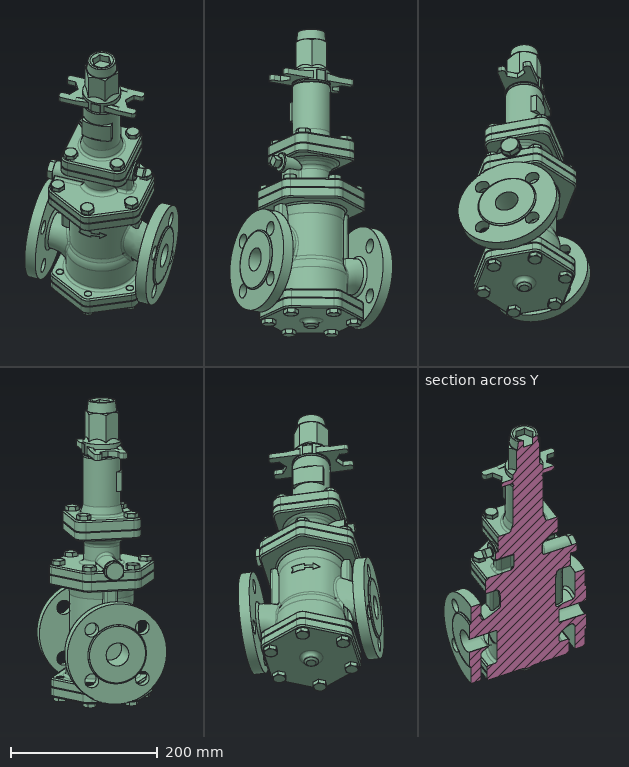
import cadquery as cq
import math


Box = cq.selectors.BoxSelector
COS30 = math.cos(math.radians(30))

base_flange_bottom, base_joint, base_flange_top = 9.5, 23.5, 36.5
pipe_axis_z = 82.5
cover_bottom, cover_joint, cover_top = 165.5, 180.0, 193.5
square_bottom, square_joint, square_top = 233.0, 245.5, 261.5
tube_bottom, tube_groove_z = 275.3, 343.5
collar_top = 362.5
nut_top = 404.8
total_height = 419.0

body_radius, lower_body_radius = 44.0, 49.0
neck_radius = 50.0 / 2
tube_radius = 52.0 / 2
nut_across_flats = 42.5

base_bolt_circle_radius, base_corner_radius = 58.2, 13.0
cover_bolt_circle_radius, cover_corner_radius = 61.0, 12.5
square_bolt_offset, square_corner_radius = 33.5, 13.0
gasket_thickness, gasket_inset = 1.3, 0.5
edge_bevel = 2.0
bolt_across_flats, bolt_height = 17.0, 6.3
head_corner_drop = 1.0

face_to_face = 180.0
flange_diameter, flange_thickness = 140.0, 15.5
raised_face_diameter, raised_face_height = 82.0, 2.5
flange_bolt_circle, flange_hole_diameter = 100.0, 19.3
bore_diameter, bore_depth = 32.0, 42.0
inlet_radius = 50.0 / 2
flange_back_x = face_to_face / 2 - raised_face_height - flange_thickness


def level(z):
    """Horizontal sketch plane at height z."""
    return cq.Workplane("XY").workplane(offset=z)


def hex_plate(bolt_circle_radius, corner_radius, bottom, top):
    """Hexagon with corners on +Y and -Y, rounded about the bolt centres."""
    hexagon_radius = bolt_circle_radius + corner_radius / COS30
    plate = level(bottom).polygon(6, 2 * hexagon_radius)
    plate = plate.extrude(top - bottom).rotate((0, 0, 0), (0, 0, 1), 30)
    return plate.edges("|Z").fillet(corner_radius)


def square_plate(bolt_offset, corner_radius, bottom, top):
    """Square with sides along X and Y, rounded about the bolt centres."""
    width = 2 * (bolt_offset + corner_radius)
    plate = level(bottom).rect(width, width)
    return plate.extrude(top - bottom).edges("|Z").fillet(corner_radius)


def jointed_flange(plate, bolt_distance, corner_radius, bottom, joint, top):
    """Two bevelled plates clamped on a slightly smaller gasket."""
    gasket_bottom = joint - gasket_thickness / 2
    gasket_top = joint + gasket_thickness / 2
    lower = plate(bolt_distance, corner_radius, bottom, gasket_bottom).faces("<Z").edges().chamfer(edge_bevel)
    upper = plate(bolt_distance, corner_radius, gasket_top, top).faces(">Z").edges().chamfer(edge_bevel)
    gasket = plate(bolt_distance, corner_radius - gasket_inset, gasket_bottom, gasket_top)
    return lower.union(gasket).union(upper)


def hex_head(across_flats, height):
    """Hexagon head standing on Z = 0, its top corners turned down to the across-flats circle."""
    head = cq.Workplane("XY").polygon(6, across_flats / COS30).extrude(height)
    corner_radius = across_flats / COS30 / 2
    turning = cq.Workplane("XY").circle(corner_radius).extrude(height)
    turning = turning.faces(">Z").chamfer(head_corner_drop, corner_radius - across_flats / 2)
    return head.intersect(turning)


def polar_points(radius, count, start):
    """Evenly spaced points on a circle, the first at the start angle in degrees."""
    steps = [math.radians(start + i * 360 / count) for i in range(count)]
    return [(radius * math.cos(a), radius * math.sin(a)) for a in steps]


def body():
    base_fillet = 3.8
    shoulder_bottom, shoulder_rim, shoulder_top = 72.0, 84.2, 89.5
    shoulder_rim_radius = body_radius + 1.5
    flare_bottom, flare_top, flare_radius = 150.5, 163.0, 46.0
    profile = (
        cq.Workplane("XZ")
        .moveTo(0, base_flange_top)
        .lineTo(lower_body_radius + base_fillet, base_flange_top)
        .radiusArc((lower_body_radius, base_flange_top + base_fillet), base_fillet)
        .lineTo(lower_body_radius, shoulder_bottom)
        .tangentArcPoint((shoulder_rim_radius, shoulder_rim), relative=False)
        .lineTo(body_radius, shoulder_top)
        .lineTo(body_radius, flare_bottom)
        .lineTo(flare_radius, flare_top)
        .lineTo(flare_radius + cover_bottom - flare_top, cover_bottom)
        .lineTo(0, cover_bottom)
        .close()
    )
    return profile.revolve(360, (0, 0, 0), (0, 1, 0))


def body_ribs():
    """Round-edged ribs under the cover, one on each pipe side."""
    reach, half_width, edge_radius = 55.5, 9.2, 3.5
    left_bottom, right_bottom = 84.0, 109.0
    ribs = cq.Workplane("XY")
    for side, bottom in ((-1, left_bottom), (1, right_bottom)):
        rib = level(bottom).center(reach / 2, 0).rect(reach, 2 * half_width).extrude(cover_bottom - bottom)
        rib = rib.edges("|Z and >X").fillet(edge_radius)
        if side < 0:
            rib = rib.mirror("YZ")
        ribs = ribs.union(rib)
    return ribs


def flow_arrow():
    """Raised arrow pointing along the flow, toward +X."""
    relief = 0.5
    tail_x, notch_x, step_x, head_x, tip_x = -19.3, -16.8, -0.5, 11.5, 20.0
    half_tail, half_stem, half_head, arrow_z = 5.0, 2.0, 5.5, 134.0
    upper = [
        (tail_x, half_tail),
        (step_x, half_tail),
        (step_x, half_stem),
        (head_x, half_stem),
        (head_x, half_head),
    ]
    lower = [(x, -z) for x, z in reversed(upper)]
    outline = [(notch_x, 0)] + upper + [(tip_x, 0)] + lower
    arrow = cq.Workplane("XZ").polyline(outline).close().extrude(2 * body_radius).translate((0, 0, arrow_z))
    shell = level(arrow_z - half_head).circle(body_radius + relief)
    shell = shell.extrude(2 * half_head)
    return arrow.intersect(shell)


def base_flange():
    flange = jointed_flange(
        hex_plate,
        base_bolt_circle_radius,
        base_corner_radius,
        base_flange_bottom,
        base_joint,
        base_flange_top,
    )
    thread_diameter, thread_recess = 10.0, 1.0
    centres = polar_points(base_bolt_circle_radius, 6, 30)
    recess = level(base_flange_top - thread_recess)
    flange = flange.cut(recess.pushPoints(centres).circle(thread_diameter / 2).extrude(thread_recess))
    head = hex_head(bolt_across_flats, bolt_height).rotate((0, 0, 0), (1, 0, 0), 180)
    head = head.rotate((0, 0, 0), (0, 0, 1), 30)
    for x, y in centres:
        flange = flange.union(head.translate((x, y, base_flange_bottom)))
    return flange


def base_boss():
    rim_radius, foot_radius, flare_radius = 10.0, 6.5, 16.0
    rim_bottom, rim_top, overlap = 2.5, 4.0, 2.0
    profile = (
        cq.Workplane("XZ")
        .lineTo(foot_radius, 0)
        .lineTo(rim_radius, rim_bottom)
        .lineTo(rim_radius, rim_top)
        .radiusArc((flare_radius, base_flange_bottom), flare_radius - rim_radius)
        .lineTo(flare_radius, base_flange_bottom + overlap)
        .lineTo(0, base_flange_bottom + overlap)
        .close()
    )
    return profile.revolve(360, (0, 0, 0), (0, 1, 0))


port_diameter = 27.0
port_radius = port_diameter / 2
core_bottom, core_top = 176.0, 243.0
margin = 0.5


def neck_core():
    """Plain neck cylinder reaching into the flanges above and below."""
    return level(core_bottom).circle(neck_radius).extrude(core_top - core_bottom)


def cover():
    flange = jointed_flange(
        hex_plate, cover_bolt_circle_radius, cover_corner_radius, cover_bottom, cover_joint, cover_top
    )
    head = hex_head(bolt_across_flats, bolt_height)
    for x, y in polar_points(cover_bolt_circle_radius, 6, 30):
        flange = flange.union(head.translate((x, y, cover_top)))
    return flange


def neck():
    foot_fillet = 6.0
    flare_bottom, cone_bottom, cone_bottom_radius = 218.7, 224.0, 27.5
    cone_top, cone_top_radius = 228.5, 31.5
    rim_bottom, rim_inner_radius, rim_radius = 231.0, 70.0 / 2, 39.0
    profile = (
        cq.Workplane("XZ")
        .moveTo(0, cover_top)
        .lineTo(neck_radius + foot_fillet, cover_top)
        .radiusArc((neck_radius, cover_top + foot_fillet), foot_fillet)
        .lineTo(neck_radius, flare_bottom)
        .tangentArcPoint((cone_bottom_radius, cone_bottom), relative=False)
        .lineTo(cone_top_radius, cone_top)
        .lineTo(rim_inner_radius, rim_bottom)
        .lineTo(rim_radius, square_bottom)
        .lineTo(0, square_bottom)
        .close()
    )
    return profile.revolve(360, (0, 0, 0), (0, 1, 0))


def cover_port():
    """Port lying on the cover at -X, blended into cover and neck and closed by a hexagon plug."""
    axis_z, port_end, seam_end, blend_radius = 195.3, 67.0, 63.5, 3.8
    plug_across_flats, plug_length = 24.5, 8.5
    tube = cq.Workplane("YZ").center(0, axis_z).circle(port_radius).extrude(-port_end)
    junction = Box(
        (-neck_radius - margin, -port_diameter, core_bottom + margin),
        (0, port_diameter, axis_z + port_diameter),
    )
    port = neck_core().union(tube).edges(junction).fillet(blend_radius)
    seams = (
        cq.Workplane("YZ")
        .moveTo(-port_radius - blend_radius, cover_top)
        .radiusArc((-port_radius, cover_top + blend_radius), -blend_radius)
        .lineTo(port_radius, cover_top + blend_radius)
        .radiusArc((port_radius + blend_radius, cover_top), -blend_radius)
        .close()
    )
    plug = hex_head(plug_across_flats, plug_length).rotate((0, 0, 0), (0, 1, 0), -90)
    return port.union(seams.extrude(-seam_end)).union(plug.translate((-port_end, 0, axis_z)))


def neck_port():
    """Port boss on the +X side of the neck, with its supporting web and square-headed plug."""
    axis_z, boss_end, boss_bevel = 227.0, 50.3, 1.3
    web_end, web_half_width, web_edge_radius, web_blend = 44.5, 9.2, 5.0, 3.8
    stem_radius, head_start, head_end, head_diagonal = 6.5, 52.0, 61.0, 17.0
    web = level(core_bottom).center(web_end / 2, 0)
    web = web.rect(web_end, 2 * web_half_width).extrude(axis_z - core_bottom)
    web = web.edges("|Z and >X").fillet(web_edge_radius)
    junction = Box(
        (0, -port_radius, core_bottom + margin),
        (neck_radius, port_radius, axis_z - margin),
    )
    port = neck_core().union(web).edges(junction).fillet(web_blend)
    pad_radius = 52.5
    pad = level(core_bottom).circle(pad_radius).extrude(cover_top - core_bottom)
    foot_end = Box(
        (web_end - margin, -web_half_width, cover_top - margin),
        (web_end + margin, web_half_width, cover_top + margin),
    )
    port = port.union(pad).edges(foot_end).fillet(web_blend)
    boss = cq.Workplane("YZ").center(0, axis_z).circle(port_radius).extrude(boss_end)
    boss = boss.faces(">X").chamfer(boss_bevel)
    stem = cq.Workplane("YZ").center(0, axis_z).circle(stem_radius).extrude(head_start)
    head = cq.Workplane("YZ").workplane(offset=head_start).center(0, axis_z)
    head = head.polygon(4, head_diagonal).extrude(head_end - head_start)
    return port.union(boss).union(stem).union(head)


def square_flange():
    flange = jointed_flange(
        square_plate, square_bolt_offset, square_corner_radius, square_bottom, square_joint, square_top
    )
    head = hex_head(bolt_across_flats, bolt_height).rotate((0, 0, 0), (0, 0, 1), 15)
    for x in (-square_bolt_offset, square_bolt_offset):
        for y in (-square_bolt_offset, square_bolt_offset):
            flange = flange.union(head.translate((x, y, square_top)))
    return flange


def tower():
    foot_radius, foot_fillet = 29.0, 3.5
    groove_half_width, groove_depth = 1.5, 1.3
    cone_top_z, cone_top_radius = 369.5, 20.5
    profile = (
        cq.Workplane("XZ")
        .moveTo(0, square_top)
        .lineTo(foot_radius + foot_fillet, square_top)
        .radiusArc((foot_radius, square_top + foot_fillet), foot_fillet)
        .lineTo(tube_radius, tube_bottom)
        .lineTo(tube_radius, tube_groove_z - groove_half_width)
        .lineTo(tube_radius - groove_depth, tube_groove_z)
        .lineTo(tube_radius, tube_groove_z + groove_half_width)
        .lineTo(tube_radius, collar_top)
        .lineTo(cone_top_radius, cone_top_z)
        .lineTo(0, cone_top_z)
        .close()
    )
    return profile.revolve(360, (0, 0, 0), (0, 1, 0))


def adjusting_nut():
    """Long hexagon above the collar with a tapered, hex-socketed spigot."""
    corner_radius = nut_across_flats / COS30 / 2
    corner_drop = 2.5
    spigot_bottom_radius, spigot_top_radius = 20.5, 19.0
    mouth_radius, socket_across_flats, mouth_depth, socket_depth = 32.0 / 2, 23.0, 2.5, 12.5
    length = nut_top - collar_top
    nut = level(collar_top).polygon(6, 2 * corner_radius).extrude(length)
    turning = level(collar_top).circle(corner_radius).extrude(length)
    turning = turning.faces(">Z").chamfer(corner_drop, corner_radius - nut_across_flats / 2)
    spigot = level(nut_top).circle(spigot_bottom_radius)
    spigot = spigot.workplane(offset=total_height - nut_top).circle(spigot_top_radius).loft()
    socket = level(total_height - socket_depth)
    socket = socket.polygon(6, socket_across_flats / COS30).extrude(socket_depth)
    mouth = level(total_height - mouth_depth).circle(socket_across_flats / 2)
    mouth = mouth.workplane(offset=mouth_depth).circle(mouth_radius).loft()
    return nut.intersect(turning).union(spigot).cut(socket).cut(mouth)


def handle():
    """Flat cross plate with forked ends, stiffening ramps and a block on each long side."""
    bottom, top = 347.0, 355.5
    half_length, half_width, tip_radius = 55.5, 23.5, 4.0
    fork_half_gap, fork_floor_x, fork_root_x = 12.5, 42.0, 34.5
    ramp_inner_y, ramp_end_x, ramp_top = 16.5, 30.5, 358.5
    block_half_length, block_outer_y, block_bottom, block_top = 6.5, 26.5, 345.3, 360.0
    plate = level(bottom).rect(2 * half_length, 2 * half_width).extrude(top - bottom)
    for side in (-1, 1):
        fork = [
            (side * half_length, -fork_half_gap),
            (side * fork_floor_x, -fork_half_gap),
            (side * fork_root_x, 0),
            (side * fork_floor_x, fork_half_gap),
            (side * half_length, fork_half_gap),
        ]
        plate = plate.cut(level(bottom).polyline(fork).close().extrude(top - bottom))
    plate = plate.edges("|Z and (<X or >X)").fillet(tip_radius)
    ramp_outline = [
        (-ramp_end_x, top),
        (-block_half_length, ramp_top),
        (block_half_length, ramp_top),
        (ramp_end_x, top),
    ]
    ramp = cq.Workplane("XZ").polyline(ramp_outline).close().extrude(half_width - ramp_inner_y)
    block = level(block_bottom).center(0, -(block_outer_y + ramp_inner_y) / 2)
    block = block.rect(2 * block_half_length, block_outer_y - ramp_inner_y).extrude(block_top - block_bottom)
    stiffener = ramp.translate((0, -ramp_inner_y, 0)).union(block)
    return plate.union(stiffener).union(stiffener.mirror("XZ"))


def nameplate():
    """Pad on the -Y side of the tower with a gently bowed face."""
    half_width, edge_y, crown_y = 21.0, -23.0, -27.2
    bottom, height = 295.0, 27.2
    pad = (
        level(bottom)
        .moveTo(half_width, 0)
        .lineTo(half_width, edge_y)
        .threePointArc((0, crown_y), (-half_width, edge_y))
        .lineTo(-half_width, 0)
        .close()
    )
    return pad.extrude(height)


def pipe_flange(side):
    """Raised-face flange; side is -1 for the inlet and +1 for the outlet."""
    face_bevel = 1.5
    disc = cq.Workplane("YZ").circle(flange_diameter / 2).extrude(flange_thickness)
    holes = cq.Workplane("YZ").pushPoints(polar_points(flange_bolt_circle / 2, 4, 45))
    disc = disc.cut(holes.circle(flange_hole_diameter / 2).extrude(flange_thickness))
    face = cq.Workplane("YZ").workplane(offset=flange_thickness).circle(raised_face_diameter / 2)
    face = face.extrude(raised_face_height).faces(">X").chamfer(face_bevel)
    flange = disc.union(face).translate((flange_back_x, 0, pipe_axis_z))
    return flange.mirror("YZ") if side < 0 else flange


def inlet_elbow():
    """Elbow turning down from the inlet flange into the lower body."""
    bend_radius, bend_angle, bend_start_x = 45.3, 80, 68.7
    flare = 3.8
    straight_length = flange_back_x - bend_start_x
    start = cq.Workplane("YZ").workplane(offset=-bend_start_x).center(0, pipe_axis_z)
    elbow = start.circle(inlet_radius).revolve(bend_angle, (-4, -bend_radius, 0), (4, -bend_radius, 0))
    collar = start.circle(inlet_radius)
    collar = collar.workplane(offset=-straight_length).circle(inlet_radius + flare).loft()
    return elbow.union(collar)


def outlet_pipe():
    """Straight oval pipe rising from the outlet flange into the upper body."""
    half_width, half_depth = 23.5, 28.0
    rise_angle, joint_z = 27, 91.0
    flare, flare_length = 3.0, 4.0
    length = 2 * body_radius
    pipe = cq.Workplane("YZ").ellipse(half_width, half_depth).extrude(length, both=True)
    pipe = pipe.rotate((0, 0, 0), (0, 1, 0), rise_angle).translate((flange_back_x, 0, joint_z))
    half_height = half_depth / math.cos(math.radians(rise_angle))
    collar_z = joint_z + flare_length * math.tan(math.radians(rise_angle))
    collar = cq.Workplane("YZ").workplane(offset=flange_back_x - flare_length).center(0, collar_z)
    collar = collar.ellipse(half_width, half_height).workplane(offset=flare_length)
    collar = collar.ellipse(half_width + flare, half_height + flare).loft()
    room = level(0).center(flange_back_x / 2, 0).rect(flange_back_x, flange_diameter).extrude(total_height)
    return pipe.intersect(room).union(collar)


def body_with_pipes():
    """Body joined to both pipes, with a blend around each junction."""
    blend_radius = 3.8
    reach_x, half_width = 54.5, 29.5
    inlet_bottom, inlet_top, inlet_inner_x = 40.5, 113, 33.5
    outlet_bottom, outlet_top, outlet_inner_x = 69.0, 138.3, 29.5
    inlet_junction = Box((-reach_x, -half_width, inlet_bottom), (-inlet_inner_x, half_width, inlet_top))
    outlet_junction = Box((outlet_inner_x, -half_width, outlet_bottom), (reach_x, half_width, outlet_top))
    shell = body().union(inlet_elbow()).union(outlet_pipe())
    return shell.edges(inlet_junction + outlet_junction).fillet(blend_radius)


def bores():
    bore = cq.Workplane("YZ").workplane(offset=face_to_face / 2).center(0, pipe_axis_z)
    bore = bore.circle(bore_diameter / 2).extrude(-bore_depth)
    return bore.union(bore.mirror("YZ"))


result = body_with_pipes()
for feature in (
    body_ribs(),
    flow_arrow(),
    pipe_flange(-1),
    pipe_flange(1),
    base_flange(),
    base_boss(),
    cover(),
    neck(),
    cover_port(),
    neck_port(),
    square_flange(),
    tower(),
    adjusting_nut(),
    handle(),
    nameplate(),
):
    result = result.union(feature)
result = result.cut(bores())